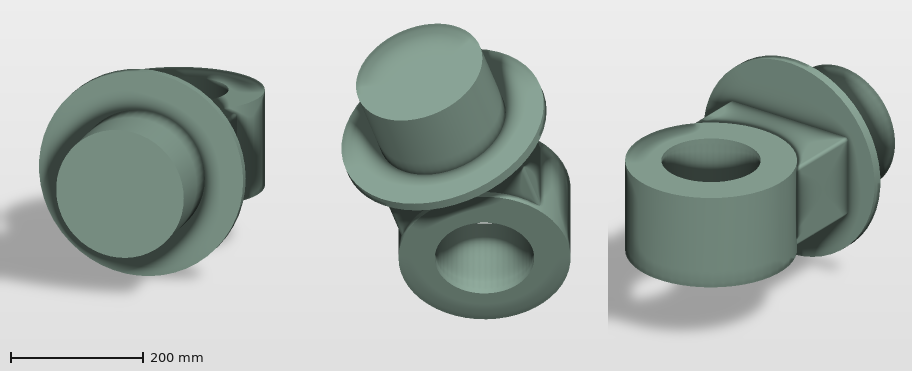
import cadquery as cq

total_length = 465.0
ring_diameter = 260.0
ring_bore = 150.0
ring_height = 150.0
flange_diameter = 320.0
flange_thickness = 15.0
shaft_diameter = 200.0
shaft_length = 120.0
neck_width = 220.0
neck_height = 130.0
neck_edge_radius = 5.0

shaft_end_y = ring_diameter / 2 - total_length
flange_front_y = shaft_end_y + shaft_length
flange_back_y = flange_front_y + flange_thickness

def disc_along_y(diameter, start_y, length):
    """Solid cylinder whose axis runs along +Y from start_y."""
    plane = cq.Plane(origin=(0, start_y, 0), xDir=(1, 0, 0), normal=(0, 1, 0))
    return cq.Workplane(plane).circle(diameter / 2).extrude(length)

shaft = disc_along_y(shaft_diameter, shaft_end_y, shaft_length)
flange = disc_along_y(flange_diameter, flange_front_y, flange_thickness)
ring = cq.Workplane("XY").circle(ring_diameter / 2).extrude(ring_height / 2, both=True)

neck_length = -flange_back_y
neck = (
    cq.Workplane("XY")
    .box(neck_width, neck_length, neck_height)
    .edges("|Y")
    .fillet(neck_edge_radius)
    .translate((0, flange_back_y + neck_length / 2, 0))
)

bore = cq.Workplane("XY").circle(ring_bore / 2).extrude(ring_height / 2, both=True)

result = ring.union(neck).union(flange).union(shaft).cut(bore)